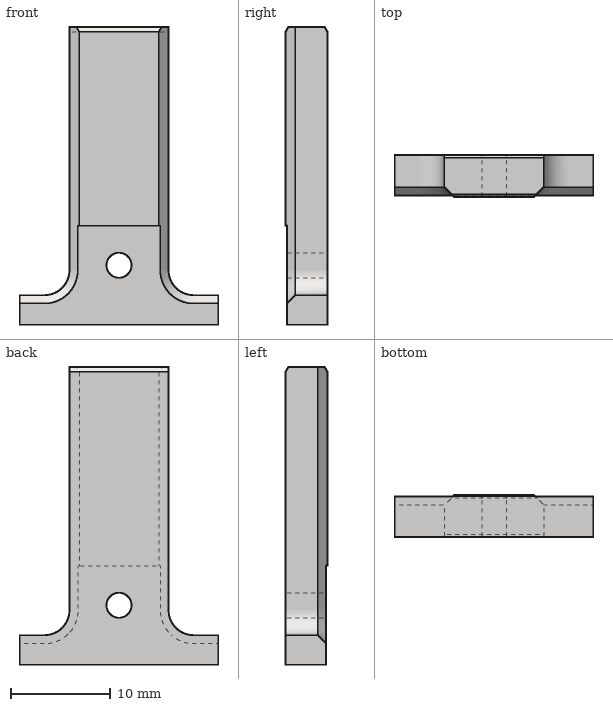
import cadquery as cq
import math

foot_length = 20.0
foot_height = 3.0
stem_width = 10.0
total_height = 30.0
inner_radius = 2.5

stem_thickness = 4.25
pad_step = 0.15
pad_bottom = 10.0

side_bevel = 1.0

tip_bevel_height = 0.5
tip_bevel_angle = 30.0
tip_bevel_depth = tip_bevel_height * math.tan(math.radians(tip_bevel_angle))

hole_diameter = 2.5
hole_height = 6.0


def t_profile(y, inset):
    """T outline at depth y, with stem sides, fillets and foot tops moved inward by inset."""
    half_foot = foot_length / 2
    half_stem = stem_width / 2 - inset
    foot_top = foot_height - inset
    radius = inner_radius + inset
    arc_end_x = half_stem + radius
    arc_end_z = foot_top + radius
    return (
        cq.Workplane("XZ", origin=(0, y, 0))
        .moveTo(-half_foot, 0)
        .lineTo(half_foot, 0)
        .lineTo(half_foot, foot_top)
        .lineTo(arc_end_x, foot_top)
        .radiusArc((half_stem, arc_end_z), radius)
        .lineTo(half_stem, total_height)
        .lineTo(-half_stem, total_height)
        .lineTo(-half_stem, arc_end_z)
        .radiusArc((-arc_end_x, foot_top), radius)
        .lineTo(-half_foot, foot_top)
        .close()
    )


def beveled_body():
    """Full-thickness T: a straight back layer and a front layer tapering in at 45 degrees."""
    straight_depth = stem_thickness - side_bevel
    back_layer = t_profile(0, 0).extrude(straight_depth)
    back_wire = t_profile(-straight_depth, 0).wires().val()
    front_wire = t_profile(-stem_thickness, side_bevel).wires().val()
    front_layer = cq.Solid.makeLoft([back_wire, front_wire], True)
    return back_layer.union(cq.Workplane(front_layer))


def lower_front_relief():
    """Slab that sets the front face back below the raised part of the stem."""
    return (
        cq.Workplane("XY")
        .box(foot_length, pad_step, pad_bottom, centered=(True, False, False))
        .translate((0, -stem_thickness, 0))
    )


def tip_bevel(face_y, inward):
    """Wedge removed from the stem's top edge at face_y; inward is the Y sign into the part."""
    return (
        cq.Workplane("YZ", origin=(-stem_width / 2, 0, 0))
        .moveTo(face_y, total_height)
        .lineTo(face_y + inward * tip_bevel_depth, total_height)
        .lineTo(face_y, total_height - tip_bevel_height)
        .close()
        .extrude(stem_width)
    )


def cross_hole():
    """Round hole through the part along Y."""
    return (
        cq.Workplane("XZ")
        .center(0, hole_height)
        .circle(hole_diameter / 2)
        .extrude(stem_thickness)
    )


result = (
    beveled_body()
    .cut(lower_front_relief())
    .cut(tip_bevel(0, -1))
    .cut(tip_bevel(-stem_thickness, 1))
    .cut(cross_hole())
)